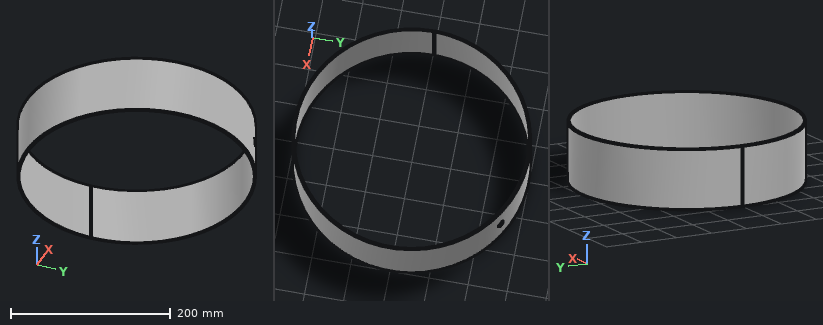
import cadquery as cq
import math

OUTER_DIAMETER = 300.0
WALL_THICKNESS = 2.5
HEIGHT = 80.0
GAP_ANGLE = 1.0

OUTER_CHAMFER_HEIGHT = 1.8
OUTER_CHAMFER_SLOPE = 20.0

INNER_CHAMFER = 0.8

HOLE_DIAMETER = 10.0
HOLE_ANGLE = 59.0
HOLE_HEIGHT = HEIGHT / 2

OUTER_RADIUS = OUTER_DIAMETER / 2
INNER_RADIUS = OUTER_RADIUS - WALL_THICKNESS
OUTER_CHAMFER_DEPTH = OUTER_CHAMFER_HEIGHT * math.tan(math.radians(OUTER_CHAMFER_SLOPE))


def make_ring():
    """Revolve the chamfered wall section from -X by way of -Y, stopping short of a full turn."""
    outer_rim_x = -OUTER_RADIUS + OUTER_CHAMFER_DEPTH
    inner_rim_x = -INNER_RADIUS - INNER_CHAMFER
    wall_section = (
        cq.Workplane("XZ")
        .moveTo(-OUTER_RADIUS, OUTER_CHAMFER_HEIGHT)
        .lineTo(-OUTER_RADIUS, HEIGHT - OUTER_CHAMFER_HEIGHT)
        .lineTo(outer_rim_x, HEIGHT)
        .lineTo(inner_rim_x, HEIGHT)
        .lineTo(-INNER_RADIUS, HEIGHT - INNER_CHAMFER)
        .lineTo(-INNER_RADIUS, INNER_CHAMFER)
        .lineTo(inner_rim_x, 0)
        .lineTo(outer_rim_x, 0)
        .close()
    )
    return wall_section.revolve(360 - GAP_ANGLE, (0, 0, 0), (0, 1, 0))


def make_hole_cutter():
    """Cylinder running from the ring axis out through one side of the wall."""
    angle = math.radians(HOLE_ANGLE)
    direction = cq.Vector(math.cos(angle), math.sin(angle), 0)
    start = cq.Vector(0, 0, HOLE_HEIGHT)
    length = OUTER_RADIUS + WALL_THICKNESS
    return cq.Solid.makeCylinder(HOLE_DIAMETER / 2, length, start, direction)


result = make_ring().cut(make_hole_cutter())